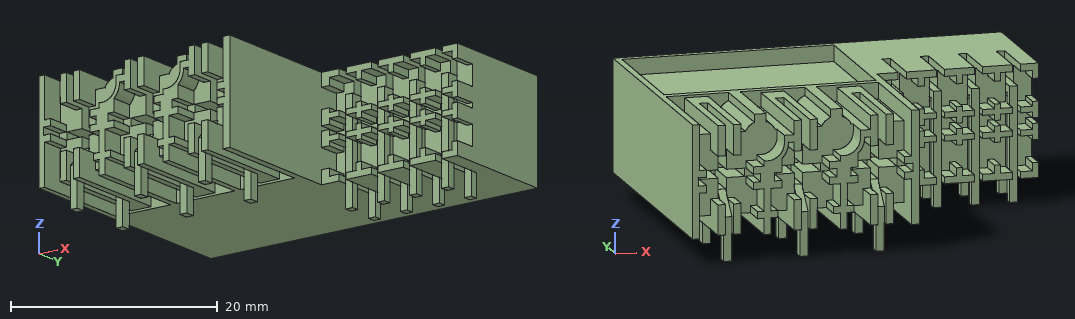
import cadquery as cq
import math

length = 39.07
depth = 28.3
height = 11.4
mid_z = height / 2
power_width = 22.8
signal_front = 15.1
socket_depth = 2.58
signal_socket_depth = 2.45
pin_length = 2.58
slot_width = 0.82

pole_pitch = 7.65
pole_x = [3.7 + i * pole_pitch for i in range(3)]
divider_x = [(a + b) / 2 for a, b in zip(pole_x, pole_x[1:])]
wall_left = 0.7
wall_right = 22.0
core_inset = 1.65
core_top = height - core_inset
recess_back = 11.75
pocket_front = 12.6
pocket_back = 27.5

rib_half = 1.17
rib_height = 3.05
rib_inset = 0.25
rib_bottoms = (rib_inset, height - rib_inset - rib_height)

blade_height = 0.82
blade_top = mid_z + blade_height / 2
blade_half_front = 3.13
blade_half_core = 2.23
blade_back = 6.7

bar_height = 2.25
bar_half = 1.45
bar_bottom = mid_z - bar_height / 2
bar_top = mid_z + bar_height / 2
wall_tooth = 0.7
stem_half = 0.35
foot_half = 1.0
foot_height = 0.7

key_radius = 1.68
key_z = 9.03
neck_half = 0.6
saddle_radius = 2.1

contact_front = 0.63
contact_back = 9.22
power_pin = 1.1
slope_bottom = 1.88
slope_run = 2.23

signal_pitch = pole_pitch / 2
signal_x = [25.35 + i * signal_pitch for i in range(4)]
tooth_half = 0.3
signal_contact_front = 16.15
signal_contact_back = 20.75
signal_contact_top = 9.03
signal_pin = 0.85
outer_shelf = (10.7, height, 9.9, height)
inner_shelf = (6.55, 7.15, 5.98, 7.6)


def box(x0, x1, y0, y1, z0, z1):
    """Block between two opposite corners."""
    return cq.Workplane("XY").box(x1 - x0, y1 - y0, z1 - z0, centered=False).translate((x0, y0, z0))


def slab(x_center, half, y0, y1, z0, z1):
    """Block centred on an X position."""
    return box(x_center - half, x_center + half, y0, y1, z0, z1)


def power_housing():
    body = box(0, power_width, 0, depth, 0, height)
    body = body.cut(box(wall_left, wall_right, pocket_front, pocket_back, core_top, height))
    body = body.cut(box(wall_left, wall_right, 0, socket_depth, 0, height))
    for z0, z1 in ((0, core_inset), (core_top, height)):
        body = body.cut(box(wall_left, wall_right, 0, recess_back, z0, z1))
    for x0 in (wall_left, wall_right - wall_tooth):
        body = body.union(box(x0, x0 + wall_tooth, 0, socket_depth, bar_bottom, bar_top))
    return body


def saddle(x):
    """Curved cradle ahead of a key, bridged to the rib on its right."""
    rib_edge = pole_pitch / 2 - rib_half
    diagonal = math.sqrt(0.5)
    outer_foot_z = key_z - math.sqrt(saddle_radius**2 - bar_half**2)
    heel_z = key_z - math.sqrt(key_radius**2 - stem_half**2)
    outer_mid = -math.acos(bar_half / saddle_radius) / 2
    return (
        cq.Workplane("XZ")
        .moveTo(-stem_half, bar_top)
        .lineTo(bar_half, bar_top)
        .lineTo(bar_half, outer_foot_z)
        .threePointArc(
            (saddle_radius * math.cos(outer_mid), key_z + saddle_radius * math.sin(outer_mid)),
            (saddle_radius, key_z),
        )
        .lineTo(rib_edge, key_z)
        .lineTo(rib_edge, core_top)
        .lineTo(key_radius, core_top)
        .lineTo(key_radius, key_z)
        .threePointArc((key_radius * diagonal, key_z - key_radius * diagonal), (-stem_half, heel_z))
        .close()
        .extrude(-socket_depth)
        .translate((x, 0, 0))
    )


def divider(x):
    part = slab(x, bar_half, 0, socket_depth, bar_bottom, bar_top)
    part = part.union(slab(x, stem_half, 0, socket_depth, 0, bar_bottom))
    part = part.union(slab(x, stem_half, socket_depth, recess_back, 0, core_inset))
    part = part.union(slab(x, foot_half, 0, socket_depth, core_inset, core_inset + foot_height))
    return part.union(saddle(x))


def key(x):
    """Round key with a neck up to the top face, behind the saddle."""
    bead = (
        cq.Workplane("XZ")
        .center(x, key_z)
        .circle(key_radius)
        .extrude(socket_depth - recess_back)
        .translate((0, socket_depth, 0))
    )
    return bead.union(slab(x, neck_half, socket_depth, recess_back, key_z, height))


def pole_ribs(x):
    lower, upper = [slab(x, rib_half, 0, recess_back, z, z + rib_height) for z in rib_bottoms]
    return lower.union(upper)


def pole_slots(x):
    cutter = slab(x, slot_width / 2, 0, contact_back, 0, height)
    for half, back in ((blade_half_front, socket_depth), (blade_half_core, blade_back)):
        cutter = cutter.union(slab(x, half, 0, back, mid_z - blade_height / 2, blade_top))
    return cutter


def power_contact(x):
    """Bent strip: front pin, 45 degree nose, level run, raised back and rear pin."""
    slope_top = slope_bottom + slope_run
    bend = power_pin * math.tan(math.pi / 8)
    outline = [
        (contact_front, -pin_length),
        (contact_front, slope_bottom),
        (contact_front + slope_run, slope_top),
        (blade_back, slope_top),
        (blade_back, blade_top),
        (contact_back, blade_top),
        (contact_back, -pin_length),
        (contact_back - power_pin, -pin_length),
        (contact_back - power_pin, slope_top - power_pin),
        (contact_front + slope_run + bend, slope_top - power_pin),
        (contact_front + power_pin, slope_bottom - bend),
        (contact_front + power_pin, -pin_length),
    ]
    plate = cq.Workplane("YZ").polyline(outline).close().extrude(slot_width)
    return plate.translate((x - slot_width / 2, 0, 0))


def power_block():
    body = power_housing()
    for x in divider_x:
        body = body.union(divider(x)).union(key(x))
    for x in pole_x:
        body = body.union(pole_ribs(x))
    for x in pole_x:
        body = body.cut(pole_slots(x)).union(power_contact(x))
    return body


def signal_shelves():
    """Horizontal shelves with guide teeth, mirrored about mid height."""
    core_front = signal_front + signal_socket_depth
    tooth_x = [signal_x[0] - signal_pitch / 2] + [x + signal_pitch / 2 for x in signal_x]
    shelves = box(power_width, length, core_front, depth, 0, height)
    for bottom, top, tip_below, tip_above in (outer_shelf, inner_shelf):
        spans = [(power_width, length, bottom, top)]
        for x in tooth_x:
            x0 = power_width if x == tooth_x[0] else x - tooth_half
            x1 = length if x == tooth_x[-1] else x + tooth_half
            spans.append((x0, x1, tip_below, tip_above))
        for x0, x1, z0, z1 in spans:
            shelves = shelves.union(box(x0, x1, signal_front, core_front, z0, z1))
            shelves = shelves.union(box(x0, x1, signal_front, core_front, height - z1, height - z0))
    return shelves


def signal_contact(x):
    """Bridge-shaped contact: a level bar over two pins."""
    half = slot_width / 2
    part = slab(
        x, half, signal_contact_front, signal_contact_back,
        signal_contact_top - signal_pin, signal_contact_top,
    )
    for y0 in (signal_contact_front, signal_contact_back - signal_pin):
        part = part.union(slab(x, half, y0, y0 + signal_pin, -pin_length, signal_contact_top))
    return part


def slot_floor(x):
    """Stretch of the upper inner shelf that crosses the slot between the two pins."""
    bottom, top = inner_shelf[:2]
    front = signal_contact_front + signal_pin
    back = signal_contact_back - signal_pin
    return slab(x, slot_width / 2, front, back, bottom, top)


def signal_block():
    body = signal_shelves()
    for x in signal_x:
        body = body.cut(slab(x, slot_width / 2, signal_front, signal_contact_back, 0, height))
        body = body.union(signal_contact(x)).union(slot_floor(x))
    return body


result = power_block().union(signal_block())